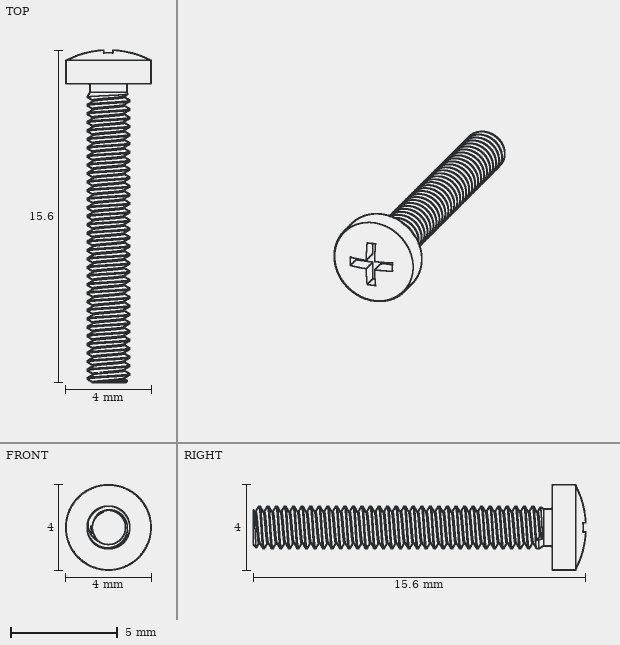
import cadquery as cq
import math


head_radius = 2.0
head_height = 1.59
dome_rise = 0.48
dome_edge_inset = 0.04
head_edge_radius = 0.04
side_height = head_height - dome_rise

recess_span = 2.1
recess_width = 0.42
recess_depth = 0.9

shank_length = 14.0
tip_radius = 0.8
neck_radius = 0.87
neck_length = 0.4
neck_cone_angle = math.radians(30)
underhead_fillet = 0.06

pitch = 0.4
major_radius = 1.0
flank_angle = math.radians(30)
triangle_height = pitch / 2 / math.tan(flank_angle)
thread_depth = triangle_height * 17 / 24
minor_radius = major_radius - thread_depth
root_half_width = pitch / 12
groove_start_turn = -0.1
groove_start = neck_length + pitch / 2 + groove_start_turn * pitch
groove_overcut = 0.02

runout_turns = 2
stock_length = shank_length + (runout_turns + 2) * pitch


def arc_middle(centre, radius, angle):
    """Point on a circle, used as the middle point of an arc."""
    return (centre[0] + radius * math.cos(angle), centre[1] + radius * math.sin(angle))


def screw_blank():
    """Turned, unthreaded screw, overlong at the tip; outline points are (radius, axial)."""
    dome_edge_radius = head_radius - dome_edge_inset
    dome_radius = (dome_edge_radius**2 + dome_rise**2) / (2 * dome_rise)
    dome_centre = (0, dome_radius - head_height)
    dome_middle_angle = -math.pi / 2 + math.asin(dome_edge_radius / dome_radius) / 2
    rim_centre = (dome_edge_radius, dome_edge_inset - side_height)
    edge_centre = (head_radius - head_edge_radius, -head_edge_radius)
    fillet_centre = (neck_radius + underhead_fillet, underhead_fillet)
    cone_end = neck_length + (major_radius - neck_radius) / math.tan(neck_cone_angle)
    outline = (
        cq.Workplane("XZ")
        .moveTo(0, -head_height)
        .threePointArc(
            arc_middle(dome_centre, dome_radius, dome_middle_angle),
            (dome_edge_radius, -side_height),
        )
        .threePointArc(
            arc_middle(rim_centre, dome_edge_inset, -math.pi / 4),
            (head_radius, dome_edge_inset - side_height),
        )
        .lineTo(head_radius, -head_edge_radius)
        .threePointArc(
            arc_middle(edge_centre, head_edge_radius, math.pi / 4),
            (head_radius - head_edge_radius, 0),
        )
        .lineTo(neck_radius + underhead_fillet, 0)
        .threePointArc(
            arc_middle(fillet_centre, underhead_fillet, -3 * math.pi / 4),
            (neck_radius, underhead_fillet),
        )
        .lineTo(neck_radius, neck_length)
        .lineTo(major_radius, cone_end)
        .lineTo(major_radius, stock_length)
        .lineTo(0, stock_length)
        .close()
    )
    return outline.revolve(360, (0, 0, 0), (0, 1, 0))


def thread_groove():
    """Right-hand helical V groove that starts below the neck and runs out past the tip."""
    turns = math.floor((shank_length - groove_start) / pitch) + runout_turns
    helix = cq.Wire.makeHelix(pitch, turns * pitch, minor_radius)
    outer_radius = major_radius + groove_overcut
    outer_half_width = root_half_width + (outer_radius - minor_radius) * math.tan(flank_angle)
    profile = cq.Workplane("XZ").polyline(
        [
            (minor_radius, -root_half_width),
            (minor_radius, root_half_width),
            (outer_radius, outer_half_width),
            (outer_radius, -outer_half_width),
        ]
    ).close()
    groove = profile.sweep(cq.Workplane(helix), isFrenet=True)
    groove = groove.rotate((0, 0, 0), (0, 0, 1), groove_start_turn * 360)
    return groove.translate((0, 0, groove_start))


def tip_trim():
    """Everything beyond the flat tip and its 45 degree chamfer."""
    outer_radius = major_radius + groove_overcut
    outline = cq.Workplane("XZ").polyline(
        [
            (0, shank_length),
            (tip_radius, shank_length),
            (outer_radius, shank_length - (outer_radius - tip_radius)),
            (outer_radius, stock_length + pitch),
            (0, stock_length + pitch),
        ]
    ).close()
    return outline.revolve(360, (0, 0, 0), (0, 1, 0))


def cross_recess():
    """Two crossed bars cut into the middle of the dome."""
    start = cq.Workplane("XY").workplane(offset=-head_height)
    bar_x = start.rect(recess_span, recess_width).extrude(recess_depth)
    bar_y = start.rect(recess_width, recess_span).extrude(recess_depth)
    return bar_x.union(bar_y)


screw = screw_blank().cut(cross_recess())
screw = screw.cut(thread_groove(), clean=False)
screw = screw.cut(tip_trim(), clean=False)
result = screw.rotate((0, 0, 0), (1, 0, 0), 90)